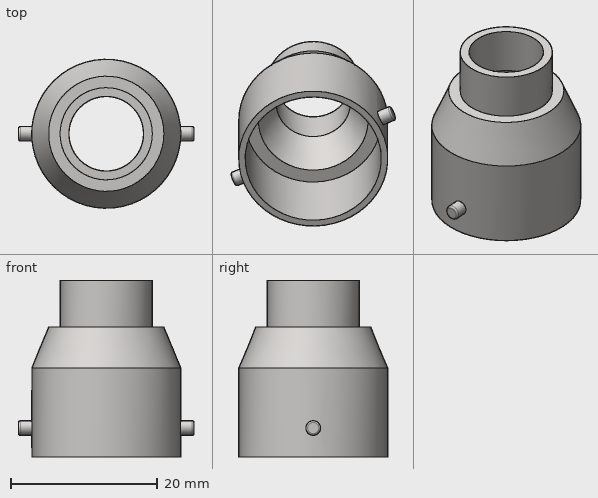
import cadquery as cq

total_height = 24.2
skirt_diameter = 20.4
skirt_height = 12.22
shoulder_diameter = 15.75
shoulder_height = 17.84
neck_diameter = 12.6

neck_bore_diameter = 10.16
cone_base_diameter = 15.0
skirt_bore_diameter = 18.6
cone_bore_top = shoulder_height
skirt_bore_top = skirt_height

pin_span = 24.0
pin_diameter = 2.0
pin_height = 4.0
pin_root_gap = 0.25
pin_tip_radius = 0.25


def revolved_body():
    """Hollow skirt, conical shoulder and neck, revolved around Z."""
    profile = [
        (skirt_bore_diameter / 2, 0),
        (skirt_diameter / 2, 0),
        (skirt_diameter / 2, skirt_height),
        (shoulder_diameter / 2, shoulder_height),
        (neck_diameter / 2, shoulder_height),
        (neck_diameter / 2, total_height),
        (neck_bore_diameter / 2, total_height),
        (neck_bore_diameter / 2, cone_bore_top),
        (cone_base_diameter / 2, skirt_bore_top),
        (skirt_bore_diameter / 2, skirt_bore_top),
    ]
    return cq.Workplane("XZ").polyline(profile).close().revolve(360, (0, 0, 0), (0, 1, 0))


def pin(side):
    """Radial pin with a rounded tip; side is +1 or -1 along X."""
    root = skirt_bore_diameter / 2 + pin_root_gap
    return (
        cq.Workplane("YZ", origin=(side * root, 0, pin_height))
        .circle(pin_diameter / 2)
        .extrude(side * (pin_span / 2 - root))
        .faces(">X" if side > 0 else "<X")
        .fillet(pin_tip_radius)
    )


result = revolved_body()
for side in (-1, 1):
    result = result.union(pin(side))